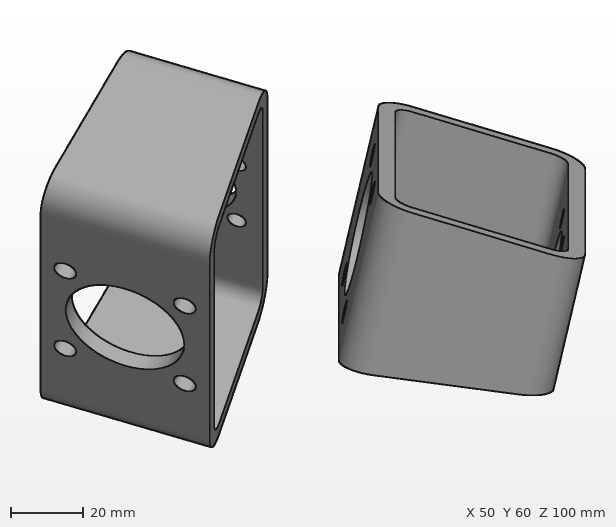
import cadquery as cq
import math

depth = 60.0
height = 100.0
wall = 5.0
outer_radius = 10.0
inner_radius = outer_radius - wall

front_width = 50.0
back_width = 40.0

front_bore = 35.0
front_bolt_hole = 6.5
front_bolt_circle = 50.0

back_bore = 25.0
back_bolt_hole = 5.5
back_bolt_circle = 36.0

front_y = -depth / 2
back_y = depth / 2


def rounded_bar(size_y, size_z, radius):
    """Bar along X with rounded long edges."""
    return cq.Workplane("XY").box(front_width, size_y, size_z).edges("|X").fillet(radius)


def tapered_envelope():
    """Trapezoidal block that trims the tube ends."""
    return (
        cq.Workplane("XY")
        .workplane(offset=-height / 2)
        .polyline([
            (-front_width / 2, front_y),
            (front_width / 2, front_y),
            (back_width / 2, back_y),
            (-back_width / 2, back_y),
        ])
        .close()
        .extrude(height)
    )


def wall_holes(wall_start_y, bore, bolt_hole, bolt_circle):
    """Cutters for a central bore and four bolt holes through one wall."""
    bolt_spacing = bolt_circle / math.sqrt(2)
    plane = cq.Workplane("XZ").workplane(offset=-wall_start_y)
    bore_cutter = plane.circle(bore / 2).extrude(-wall)
    bolt_cutters = (
        plane.rect(bolt_spacing, bolt_spacing, forConstruction=True)
        .vertices()
        .circle(bolt_hole / 2)
        .extrude(-wall)
    )
    return bore_cutter.union(bolt_cutters)


tube = rounded_bar(depth, height, outer_radius).cut(
    rounded_bar(depth - 2 * wall, height - 2 * wall, inner_radius)
)
frame = tube.intersect(tapered_envelope())

front_holes = wall_holes(front_y, front_bore, front_bolt_hole, front_bolt_circle)
back_holes = wall_holes(back_y - wall, back_bore, back_bolt_hole, back_bolt_circle)

result = frame.cut(front_holes).cut(back_holes)